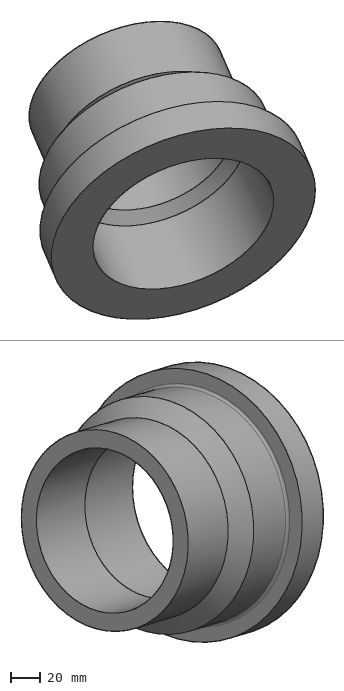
import cadquery as cq

total_length = 124.0
flange_thickness = 25.0
spigot_length = 47.0

spigot_diameter = 140.0
body_diameter = 165.0
flange_diameter = 190.0

small_bore_diameter = 114.6
large_bore_diameter = 130.0
bore_taper_start = 57.0

flange_fillet = 2.0

cone_length = (body_diameter - spigot_diameter) / 2
body_start = spigot_length + cone_length
flange_start = total_length - flange_thickness
bore_taper_length = (large_bore_diameter - small_bore_diameter) / 2
bore_taper_end = bore_taper_start + bore_taper_length


def revolve_about_x(profile):
    return profile.close().revolve(360, (0, 0, 0), (1, 0, 0))


def make_outer_shell():
    body_radius = body_diameter / 2
    profile = (
        cq.Workplane("XY")
        .lineTo(0, spigot_diameter / 2)
        .lineTo(spigot_length, spigot_diameter / 2)
        .lineTo(body_start, body_radius)
        .lineTo(flange_start - flange_fillet, body_radius)
        .radiusArc((flange_start, body_radius + flange_fillet), -flange_fillet)
        .lineTo(flange_start, flange_diameter / 2)
        .lineTo(total_length, flange_diameter / 2)
        .lineTo(total_length, 0)
    )
    return revolve_about_x(profile)


def make_bore():
    profile = (
        cq.Workplane("XY")
        .lineTo(0, small_bore_diameter / 2)
        .lineTo(bore_taper_start, small_bore_diameter / 2)
        .lineTo(bore_taper_end, large_bore_diameter / 2)
        .lineTo(total_length, large_bore_diameter / 2)
        .lineTo(total_length, 0)
    )
    return revolve_about_x(profile)


result = make_outer_shell().cut(make_bore())